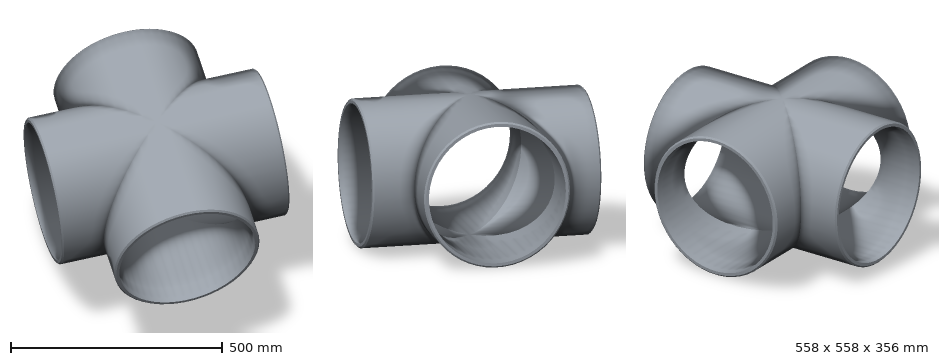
import cadquery as cq

pipe_length = 558.0
outer_diameter = 356.0
bore_diameter = 333.5

bevel_size = 4.0

outer_radius = outer_diameter / 2
bore_radius = bore_diameter / 2
half_length = pipe_length / 2


def bevelled_cylinder_along_x():
    """Solid pipe body centred on the origin, with both ends bevelled."""
    end_radius = outer_radius - bevel_size
    return (
        cq.Workplane("XY")
        .moveTo(-half_length, 0)
        .lineTo(-half_length, end_radius)
        .lineTo(-half_length + bevel_size, outer_radius)
        .lineTo(half_length - bevel_size, outer_radius)
        .lineTo(half_length, end_radius)
        .lineTo(half_length, 0)
        .close()
        .revolve(360, (0, 0, 0), (1, 0, 0))
    )


def bore_along_x():
    """Full-length bore of one pipe."""
    return cq.Workplane("YZ").circle(bore_radius).extrude(half_length, both=True)


def crossed(body):
    """Join a body along X with its copy turned to lie along Y."""
    return body.union(body.rotate((0, 0, 0), (0, 0, 1), 90))


result = crossed(bevelled_cylinder_along_x()).cut(crossed(bore_along_x()))